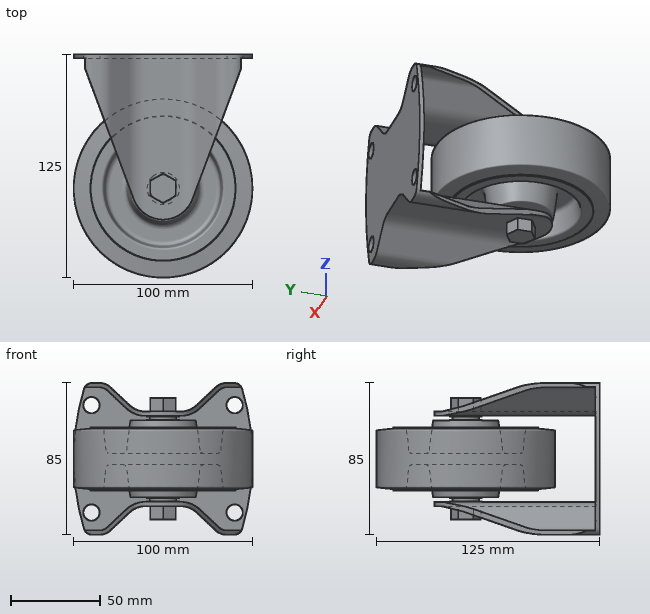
import cadquery as cq
import math


sheet = 2.5
plate_y = 75.0
plate_half_width = 50.0
plate_half_height = 42.5
plate_side_radius = 135.0
plate_corner_radius = 5.0
hole_diameter = 9.0
hole_spacing_x = 80.0
hole_spacing_z = 60.0

waist_half_height = 26.5
waist_flat_half_width = 9.9
waist_bend_radius = 13.0
crest_bend_radius = 9.0
crest_x = 35.6

arm_tip_radius = 17.5
arm_shoulder_x = 43.6
arm_shoulder_y = 66.9

spacer_diameter = 15.0
collar_diameter = 18.0
collar_thickness = 0.4
hex_flats = 14.4
hex_end_z = 34.0

tread_radius = 50.0
tread_half_width = 16.0
tread_edge_fillet = 0.8
rim_radius = 40.6
tyre_half_width = 17.0
rim_half_width = 17.8
rim_chamfer = 0.2
bore_mouth_radius = 33.5
bore_mouth_fillet = 1.2
bore_floor_radius = 31.9
web_half_width = 3.0
web_fillet = 2.5
hub_tip_radius = 18.2
hub_tip_fillet = 0.5
hub_base_radius = 20.6
hub_half_width = 21.5
hub_bulge = 0.2

arm_inner_z = waist_half_height - sheet
bracket_length = plate_y + arm_tip_radius


def waist_points(inset):
    """Waist edge from the middle flat out to the crest: two bends, three points each."""
    waist_radius = waist_bend_radius + inset
    crest_radius = crest_bend_radius - inset
    waist_center_z = waist_half_height + waist_bend_radius
    crest_center_z = plate_half_height - crest_bend_radius
    dx = crest_x - waist_flat_half_width
    dz = waist_center_z - crest_center_z
    slope = math.asin((waist_radius + crest_radius) / math.hypot(dx, dz)) - math.atan2(dz, dx)

    def on_waist(angle):
        x = waist_flat_half_width + waist_radius * math.sin(angle)
        z = waist_center_z - waist_radius * math.cos(angle)
        return x, z

    def on_crest(angle):
        x = crest_x - crest_radius * math.sin(angle)
        z = crest_center_z + crest_radius * math.cos(angle)
        return x, z

    waist_bend = [on_waist(0), on_waist(slope / 2), on_waist(slope)]
    crest_bend = [on_crest(slope), on_crest(slope / 2), on_crest(0)]
    return waist_bend + crest_bend


def waist_block(inset):
    """Solid between the two waist edges, wider than the bracket."""
    end_x = 2 * plate_half_width
    right = waist_points(inset)
    left = [(-x, z) for x, z in reversed(right)]
    outline = cq.Workplane("XZ", origin=(0, plate_y, 0)).moveTo(-end_x, 0)
    outline = outline.lineTo(-end_x, left[0][1])
    for start, start_mid, start_end, end, end_mid, end_end in (left, right):
        outline = outline.lineTo(*start).threePointArc(start_mid, start_end)
        outline = outline.lineTo(*end).threePointArc(end_mid, end_end)
    outline = outline.lineTo(end_x, right[-1][1]).lineTo(end_x, 0).close()
    upper = outline.extrude(bracket_length)
    return upper.union(upper.mirror("XY"))


def side_block():
    """Solid with bowed sides and rounded corners that bounds the bracket."""
    top = plate_half_height
    bow = plate_side_radius - math.sqrt(plate_side_radius**2 - top**2)
    corner_x = plate_half_width - bow
    return (
        cq.Workplane("XZ", origin=(0, plate_y, 0))
        .moveTo(-corner_x, top)
        .lineTo(corner_x, top)
        .threePointArc((plate_half_width, 0), (corner_x, -top))
        .lineTo(-corner_x, -top)
        .threePointArc((-plate_half_width, 0), (-corner_x, top))
        .close()
        .extrude(bracket_length)
        .edges("|Y")
        .fillet(plate_corner_radius)
    )


def arm_plan():
    """Tapered arm outline through the full height, its sides tangent to the round tip."""
    reach = math.hypot(arm_shoulder_x, arm_shoulder_y)
    taper = math.atan2(arm_shoulder_x, arm_shoulder_y) - math.asin(arm_tip_radius / reach)
    tangent_x = arm_tip_radius * math.cos(taper)
    tangent_y = -arm_tip_radius * math.sin(taper)
    return (
        cq.Workplane("XY")
        .moveTo(-arm_shoulder_x, plate_y)
        .lineTo(-arm_shoulder_x, arm_shoulder_y)
        .lineTo(-tangent_x, tangent_y)
        .threePointArc((0, -arm_tip_radius), (tangent_x, tangent_y))
        .lineTo(arm_shoulder_x, arm_shoulder_y)
        .lineTo(arm_shoulder_x, plate_y)
        .close()
        .extrude(plate_half_height, both=True)
    )


def bracket():
    body = side_block().intersect(waist_block(0))
    plate_layer = (
        cq.Workplane("XZ", origin=(0, plate_y, 0))
        .rect(2 * plate_half_width, 2 * plate_half_height)
        .extrude(sheet)
    )
    plate = body.intersect(plate_layer)
    arms = body.cut(waist_block(sheet)).intersect(arm_plan())
    holes = (
        cq.Workplane("XZ", origin=(0, plate_y, 0))
        .rarray(hole_spacing_x, hole_spacing_z, 2, 2)
        .circle(hole_diameter / 2)
        .extrude(sheet)
    )
    return plate.union(arms).cut(holes)


def circles(radius, tolerance=0.01):
    """Selector for the circular edges of one radius."""
    return lambda edge: edge.geomType() == "CIRCLE" and abs(edge.radius() - radius) < tolerance


def wheel():
    middle_radius = (hub_tip_radius + hub_base_radius) / 2 + hub_bulge
    middle_z = (hub_half_width + web_half_width) / 2
    rim_and_tyre = [
        (bore_floor_radius, web_half_width),
        (bore_mouth_radius, rim_half_width),
        (rim_radius, rim_half_width),
        (rim_radius, tyre_half_width),
        (tread_radius, tread_half_width),
    ]
    outline = (
        cq.Workplane("XZ")
        .moveTo(0, hub_half_width)
        .lineTo(hub_tip_radius, hub_half_width)
        .threePointArc((middle_radius, middle_z), (hub_base_radius, web_half_width))
    )
    for radius, z in rim_and_tyre:
        outline = outline.lineTo(radius, z)
    for radius, z in reversed(rim_and_tyre):
        outline = outline.lineTo(radius, -z)
    outline = (
        outline.lineTo(hub_base_radius, -web_half_width)
        .threePointArc((middle_radius, -middle_z), (hub_tip_radius, -hub_half_width))
        .lineTo(0, -hub_half_width)
        .close()
    )
    body = outline.revolve(360, (0, 0, 0), (0, 1, 0))

    rounded_edges = [
        (hub_tip_radius, hub_tip_fillet),
        (hub_base_radius, web_fillet),
        (bore_floor_radius, web_fillet),
        (bore_mouth_radius, bore_mouth_fillet),
        (tread_radius, tread_edge_fillet),
    ]
    for edge_radius, fillet_radius in rounded_edges:
        body = body.edges().filter(circles(edge_radius)).fillet(fillet_radius)
    step_middle = (tyre_half_width + rim_half_width) / 2
    return (
        body.edges()
        .filter(circles(rim_radius))
        .filter(lambda edge: abs(edge.Center().z) > step_middle)
        .chamfer(rim_chamfer)
    )


def cylinder_pair(diameter, z_start, height):
    """Two equal cylinders on the axle, mirrored about the middle plane."""
    upper = cq.Workplane("XY", origin=(0, 0, z_start)).circle(diameter / 2).extrude(height)
    return upper.union(upper.mirror("XY"))


def spacers():
    """Spacers that fill the gap between hub and arms, with a thin collar at each end."""
    body = cylinder_pair(spacer_diameter, hub_half_width, arm_inner_z - hub_half_width)
    for collar_z in (hub_half_width, arm_inner_z - collar_thickness):
        body = body.union(cylinder_pair(collar_diameter, collar_z, collar_thickness))
    return body


def hex_ends():
    """Hexagonal bolt head and nut on the outer faces of the arms."""
    hex_corners = hex_flats / math.cos(math.pi / 6)
    upper = (
        cq.Workplane("XY", origin=(0, 0, waist_half_height))
        .transformed(rotate=(0, 0, 30))
        .polygon(6, hex_corners)
        .extrude(hex_end_z - waist_half_height)
    )
    return upper.union(upper.mirror("XY"))


result = bracket().union(wheel()).union(spacers()).union(hex_ends())